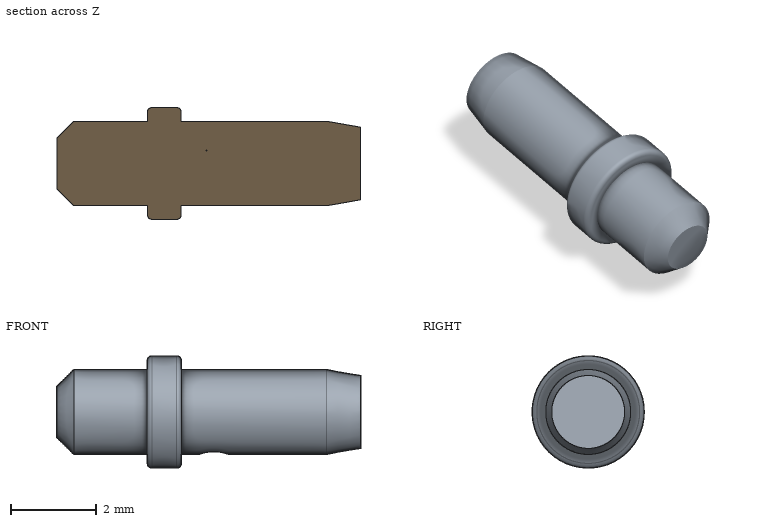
import cadquery as cq
import math

total_length = 7.12
shank_radius = 0.995

nose_length = 0.4
nose_tip_radius = 0.6

collar_radius = 1.315
collar_start = 2.12
collar_width = 0.8
collar_rim_fillet = 0.11
collar_end = collar_start + collar_width

tail_length = 0.8
tail_taper_angle = 10.0
tail_end_radius = shank_radius - tail_length * math.tan(math.radians(tail_taper_angle))

side_hole_diameter = 0.7
side_hole_x = collar_end + 0.76
side_hole_depth = shank_radius


def make_pin():
    """Revolve the shank with its nose and tail about the X axis."""
    half_profile = (
        cq.Workplane("XY")
        .lineTo(0, nose_tip_radius)
        .lineTo(nose_length, shank_radius)
        .lineTo(total_length - tail_length, shank_radius)
        .lineTo(total_length, tail_end_radius)
        .lineTo(total_length, 0)
        .close()
    )
    return half_profile.revolve(360, (0, 0, 0), (1, 0, 0))


def make_collar():
    """Disc around the shank with both outer rims rounded."""
    disc = cq.Workplane("YZ", origin=(collar_start, 0, 0)).circle(collar_radius).extrude(collar_width)
    return disc.faces("<X or >X").edges().fillet(collar_rim_fillet)


def make_side_hole():
    """Cutter rising from the underside of the shank along Z."""
    return (
        cq.Workplane("XY", origin=(side_hole_x, 0, -shank_radius))
        .circle(side_hole_diameter / 2)
        .extrude(side_hole_depth)
    )


result = make_pin().union(make_collar()).cut(make_side_hole())